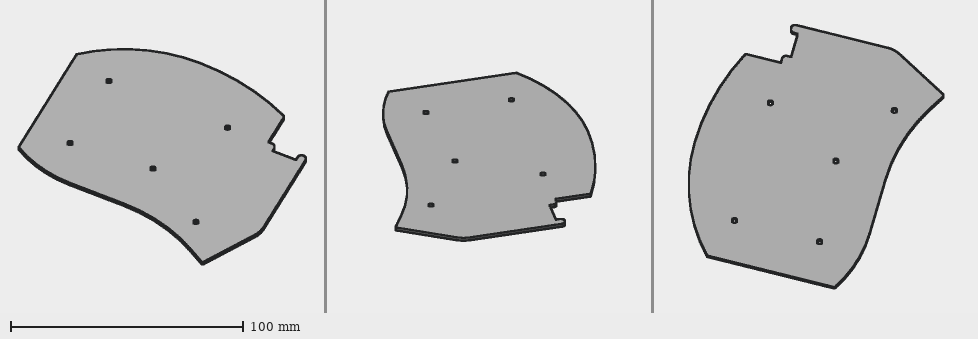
import cadquery as cq
import math

length = 114.0
width = 97.8
thickness = 1.6

crown_x = 49.7
left_crown_radius = 74.5
right_crown_radius = 104.9

flat_y = 14.0
flat_start_x = 28.4
flat_end_x = 54.3
left_lower_radius = 54.7
right_lower_radius = 74.1
slope_angle = math.radians(30)

tip_radius = 0.7
side_bend_radius = 11.4
side_bend_y = 26.0

step_x = 95.3
step_y = 71.7
step_corner_radius = 0.9
notch_left_x = 99.1
notch_right_x = 110.3
notch_floor_y = 68.2
tab_radius = (length - notch_right_x) / 2
shoulder_radius = tab_radius

hole_diameter = 2.2
hole_centres = [(18.9, 71.7), (76.1, 71.2), (18.9, 33.8), (57.1, 36.8), (86.5, 18.7)]


def arc_point(tangent_x, tangent_y, radius, x, side):
    """Point at x on an arc level at its tangent point; side is 1 if the centre lies above it, else -1."""
    rise = radius - math.sqrt(radius**2 - (x - tangent_x) ** 2)
    return (x, tangent_y + side * rise)


def crown_point(x):
    radius = left_crown_radius if x < crown_x else right_crown_radius
    return arc_point(crown_x, width, radius, x, -1)


def left_lower_point(x):
    return arc_point(flat_start_x, flat_y, left_lower_radius, x, 1)


def right_lower_point(x):
    return arc_point(flat_end_x, flat_y, right_lower_radius, x, -1)


slope_start = right_lower_point(flat_end_x + right_lower_radius * math.sin(slope_angle))

slope_to_bend = (length - slope_start[0], side_bend_y - slope_start[1])
slope_length = slope_to_bend[0] * math.cos(slope_angle) - slope_to_bend[1] * math.sin(slope_angle)
tip = (
    slope_start[0] + slope_length * math.cos(slope_angle),
    slope_start[1] - slope_length * math.sin(slope_angle),
)


def make_plate():
    outline = (
        cq.Workplane("XY")
        .moveTo(*left_lower_point(0))
        .threePointArc(left_lower_point(flat_start_x / 2), (flat_start_x, flat_y))
        .lineTo(flat_end_x, flat_y)
        .threePointArc(right_lower_point((flat_end_x + slope_start[0]) / 2), slope_start)
        .lineTo(*tip)
        .lineTo(length, side_bend_y)
        .lineTo(length, step_y - tab_radius)
        .threePointArc((length - tab_radius, step_y), (notch_right_x, step_y - tab_radius))
        .lineTo(notch_right_x, notch_floor_y)
        .lineTo(notch_left_x, notch_floor_y)
        .lineTo(notch_left_x, step_y)
        .lineTo(step_x, step_y)
        .lineTo(*crown_point(step_x))
        .threePointArc(crown_point((crown_x + step_x) / 2), (crown_x, width))
        .threePointArc(crown_point(crown_x / 2), crown_point(0))
        .close()
    )
    return outline.extrude(thickness)


def round_corner(plate, corner, radius):
    """Round the upright edge of the plate standing at the given corner."""
    edge = cq.selectors.NearestToPointSelector((corner[0], corner[1], thickness / 2))
    return plate.edges("|Z").edges(edge).fillet(radius)


plate = make_plate()
rounded_corners = [
    (tip, tip_radius),
    ((length, side_bend_y), side_bend_radius),
    ((notch_left_x, step_y), shoulder_radius),
    (crown_point(step_x), step_corner_radius),
]
for corner, radius in rounded_corners:
    plate = round_corner(plate, corner, radius)

result = plate.faces(">Z").workplane(origin=(0, 0, 0)).pushPoints(hole_centres).hole(hole_diameter)